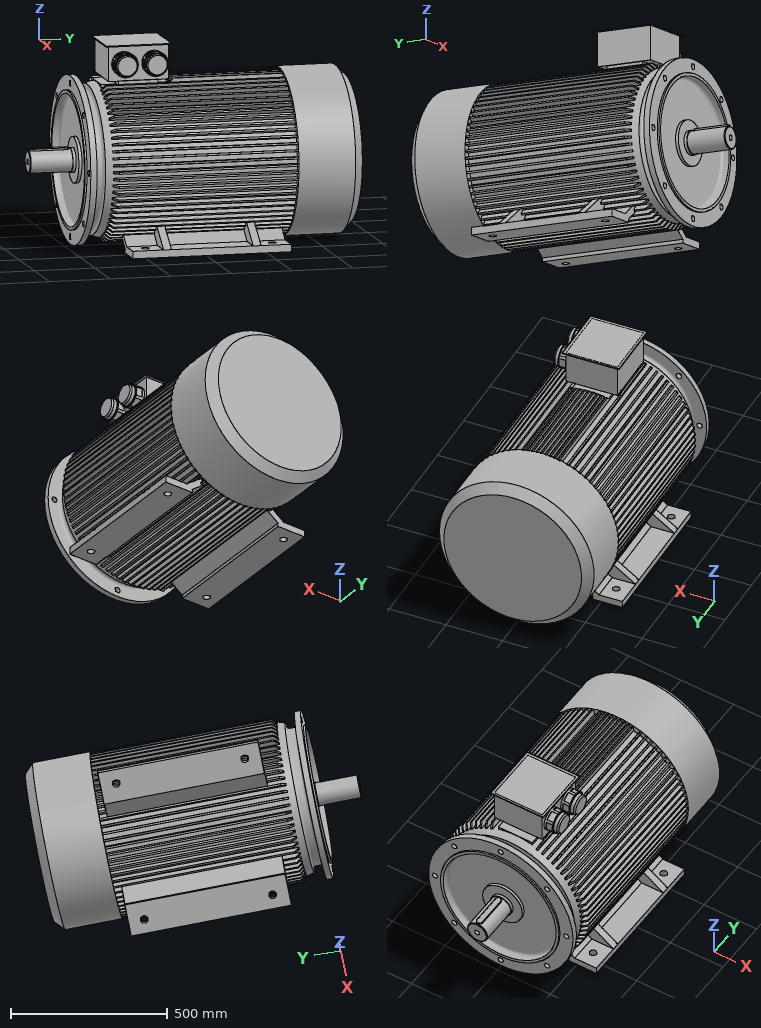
import cadquery as cq
import math


total_length = 1045.0
shaft_length = 140.0
rear_end = total_length - shaft_length

flange_dia = 550.0
flange_thickness = 21.0
spigot_dia = 450.0
spigot_height = 6.0
bolt_circle_dia = 500.0
bolt_hole_dia = 19.0
bolt_hole_count = 8

recess_dia = 430.0
recess_floor = 21.0
recess_fillet = 10.0
boss_dia = 150.0
boss_height = 10.0

shaft_dia = 75.0
shoulder_dia = 80.0
shaft_chamfer = 2.6
centre_hole_dia = 18.0
centre_hole_depth = 31.0
key_width = 21.0
key_top = 42.0
key_start = 5.0
key_end = 136.0

neck_dia = spigot_dia
neck_fillet = 10.0
shield_front = 56.0
shield_back = 80.0
shield_small_dia = 489.0
core_dia = 504.0

cowl_dia = 547.0
cowl_front = 688.0
cowl_chamfer = 30.0

fin_tip_radius = 271.0
fin_thickness = 6.0
fin_count = 72
fin_pitch_angle = 360 / fin_count
fin_chamfer = 16.0
fin_root_radius = core_dia / 2 - 10.0
bare_half_angle = 17.5

pad_width = 130.0
pad_top = 253.0
pad_front = 87.0
top_fin_count = 9
top_fin_thickness = 5.0
top_fin_pitch = (pad_width - top_fin_thickness) / (top_fin_count - 1)
top_fin_front = 308.0
top_fin_root = 230.0

box_centre_y = 204.0
box_width = 182.0
box_length = 199.0
box_bottom = 266.0
lid_overhang = 9.0
lid_thickness = 3.0
lid_top = 384.0
pedestal_width = 171.0
pedestal_length = 132.0
pedestal_root = 219.0

gland_spacing = 99.0
gland_height = 323.0
gland_body_dia = 78.0
gland_nut_flats = 72.0
gland_disc_dia = 80.0
gland_cap_dia = 70.0
gland_cap_bevel_depth = 3.0
gland_cap_bevel_length = 6.0
gland_root = 84.0
gland_collar_end = 98.0
gland_nut_end = 122.0
gland_disc_end = 124.0
gland_cap_end = 143.0

axis_height = 280.0
foot_half_span = flange_dia / 2
foot_thickness = 25.0
foot_front = 139.0
foot_length = 524.0
foot_inner = 169.0
foot_inner_height = 13.0
web_outer = 192.0
web_run = 84.0
web_rise = 63.0
gusset_run = 141.0
gusset_rise = 97.0
gusset_width = 26.0
gusset_fronts = (240.0, 536.0)
foot_hole_dia = 24.0
foot_hole_half_span = 229.0
foot_hole_end_distance = 52.0


def disc(diameter, y_start, y_end):
    """Cylinder on the motor axis between two places along Y."""
    return cq.Workplane("XZ", origin=(0, y_start, 0)).circle(diameter / 2).extrude(y_start - y_end)


def make_housing():
    """Spigot, flange, neck, end shield, core and fan cowl as one turned body."""
    flange_r = flange_dia / 2
    neck_r = neck_dia / 2
    core_r = core_dia / 2
    cowl_r = cowl_dia / 2
    fillet_mid = neck_fillet * (1 - math.sqrt(0.5))
    profile = (
        cq.Workplane("XY")
        .moveTo(0, -spigot_height)
        .lineTo(spigot_dia / 2, -spigot_height)
        .lineTo(spigot_dia / 2, 0)
        .lineTo(flange_r, 0)
        .lineTo(flange_r, flange_thickness)
        .lineTo(neck_r + neck_fillet, flange_thickness)
        .threePointArc(
            (neck_r + fillet_mid, flange_thickness + fillet_mid),
            (neck_r, flange_thickness + neck_fillet),
        )
        .lineTo(neck_r, shield_front - neck_fillet)
        .threePointArc(
            (neck_r + fillet_mid, shield_front - fillet_mid),
            (neck_r + neck_fillet, shield_front),
        )
        .lineTo(shield_small_dia / 2, shield_front)
        .lineTo(core_r, shield_back)
        .lineTo(core_r, cowl_front)
        .lineTo(cowl_r, cowl_front)
        .lineTo(cowl_r, rear_end - cowl_chamfer)
        .lineTo(cowl_r - cowl_chamfer, rear_end)
        .lineTo(0, rear_end)
        .close()
    )
    return profile.revolve(360, (0, 0, 0), (0, 1, 0))


def make_flange_cuts():
    """Filleted recess around the bearing boss, plus the bolt holes."""
    recess = disc(recess_dia, -spigot_height, recess_floor).faces(">Y").edges().fillet(recess_fillet)
    boss = disc(boss_dia, recess_floor - boss_height, recess_floor)
    holes = (
        cq.Workplane("XZ")
        .polarArray(bolt_circle_dia / 2, 0, 360, bolt_hole_count)
        .circle(bolt_hole_dia / 2)
        .extrude(-flange_thickness)
    )
    return recess.cut(boss).union(holes)


def make_shaft():
    """Shaft with shoulder, end chamfer, centre hole and round-ended key."""
    shaft = disc(shaft_dia, -shaft_length, recess_floor).faces("<Y").edges().chamfer(shaft_chamfer)
    shoulder = disc(shoulder_dia, 0, recess_floor)
    centre_hole = disc(centre_hole_dia, -shaft_length, centre_hole_depth - shaft_length)
    key = (
        cq.Workplane("XY")
        .center(0, -(key_start + key_end) / 2)
        .slot2D(key_end - key_start, key_width, 90)
        .extrude(key_top)
    )
    return shaft.union(shoulder).union(key).cut(centre_hole)


def cooling_fin(x, root, tip, front, thickness):
    """Fin in a plane of constant X, with its front tip chamfered."""
    return (
        cq.Workplane("YZ", origin=(x, 0, 0))
        .moveTo(front, root)
        .lineTo(front, tip - fin_chamfer)
        .lineTo(front + fin_chamfer, tip)
        .lineTo(cowl_front, tip)
        .lineTo(cowl_front, root)
        .close()
        .extrude(thickness / 2, both=True)
    )


def add_radial_fins(body):
    """Radial fins all round the core except for the bare sector at the top."""
    fin = cooling_fin(0, fin_root_radius, fin_tip_radius, shield_back, fin_thickness)
    angles = [i * fin_pitch_angle for i in range(fin_count)]
    fins = [
        fin.rotate((0, 0, 0), (0, 1, 0), angle).val()
        for angle in angles
        if bare_half_angle < angle < 360 - bare_half_angle
    ]
    return cq.Workplane(body.val().fuse(*fins))


def add_top_pad(body):
    """Flat pad on top of the core and the row of upright fins standing on it."""
    pad = cq.Workplane("XY", origin=(0, pad_front, top_fin_root)).box(
        pad_width, cowl_front - pad_front, pad_top - top_fin_root, centered=(True, False, False)
    )
    body = body.union(pad)
    for i in range(top_fin_count):
        x = (i - (top_fin_count - 1) / 2) * top_fin_pitch
        tip = math.sqrt(fin_tip_radius**2 - x**2)
        body = body.union(cooling_fin(x, top_fin_root, tip, top_fin_front, top_fin_thickness))
    return body


def make_gland(y):
    """Cable gland along +X: collar, hexagonal nut, rim disc and bevelled cap."""

    def stage(diameter, x_start, x_end):
        plane = cq.Workplane("YZ", origin=(x_start, y, gland_height))
        return plane.circle(diameter / 2).extrude(x_end - x_start)

    hexagon = (
        cq.Workplane("YZ", origin=(gland_collar_end, y, gland_height))
        .polygon(6, gland_nut_flats, circumscribed=True)
        .extrude(gland_nut_end - gland_collar_end)
    )
    collar = stage(gland_body_dia, gland_root, gland_collar_end)
    nut = stage(gland_body_dia, gland_collar_end, gland_nut_end).intersect(hexagon)
    rim = stage(gland_disc_dia, gland_nut_end, gland_disc_end)
    cap = stage(gland_cap_dia, gland_disc_end, gland_cap_end)
    cap = cap.faces(">X").edges().chamfer(gland_cap_bevel_length, gland_cap_bevel_depth)
    return collar.union(nut).union(rim).union(cap)


def make_terminal_box():
    """Pedestal, box and overhanging lid, with two cable glands."""

    def block(width, length, bottom, top):
        plane = cq.Workplane("XY", origin=(0, box_centre_y, bottom))
        return plane.rect(width, length).extrude(top - bottom)

    lid_bottom = lid_top - lid_thickness
    box = block(pedestal_width, pedestal_length, pedestal_root, box_bottom)
    box = box.union(block(box_width, box_length, box_bottom, lid_bottom))
    lid = block(box_width + 2 * lid_overhang, box_length + 2 * lid_overhang, lid_bottom, lid_top)
    box = box.union(lid)
    for side in (-1, 1):
        box = box.union(make_gland(box_centre_y + side * gland_spacing / 2))
    return box


def make_foot():
    """Foot on the +X side: base strip, sloping web, two gussets and two holes."""
    foot_bottom = -axis_height
    foot_top = foot_bottom + foot_thickness
    inner_top = foot_bottom + foot_inner_height

    def section(points, y_start, length):
        return cq.Workplane("XZ", origin=(0, y_start, 0)).polyline(points).close().extrude(-length)

    outline = [
        (foot_inner, foot_bottom),
        (foot_half_span, foot_bottom),
        (foot_half_span, foot_top),
        (web_outer, foot_top),
        (web_outer - web_run, foot_top + web_rise),
        (foot_inner - web_run, inner_top + web_rise),
        (foot_inner, inner_top),
    ]
    foot = section(outline, foot_front, foot_length)
    gusset = [
        (foot_half_span, foot_top),
        (foot_half_span - gusset_run, foot_top + gusset_rise),
        (web_outer - web_run, foot_top + web_rise),
        (web_outer, foot_top),
    ]
    for y in gusset_fronts:
        foot = foot.union(section(gusset, y, gusset_width))
    hole_ys = (foot_front + foot_hole_end_distance, foot_front + foot_length - foot_hole_end_distance)
    holes = (
        cq.Workplane("XY", origin=(0, 0, foot_bottom))
        .pushPoints([(foot_hole_half_span, y) for y in hole_ys])
        .circle(foot_hole_dia / 2)
        .extrude(foot_thickness)
    )
    return foot.cut(holes)


right_foot = make_foot()
left_foot = right_foot.mirror("YZ")

motor = make_housing().cut(make_flange_cuts())
motor = add_radial_fins(motor)
motor = add_top_pad(motor)
motor = motor.union(make_shaft())
motor = motor.union(make_terminal_box())
result = motor.union(right_foot).union(left_foot)